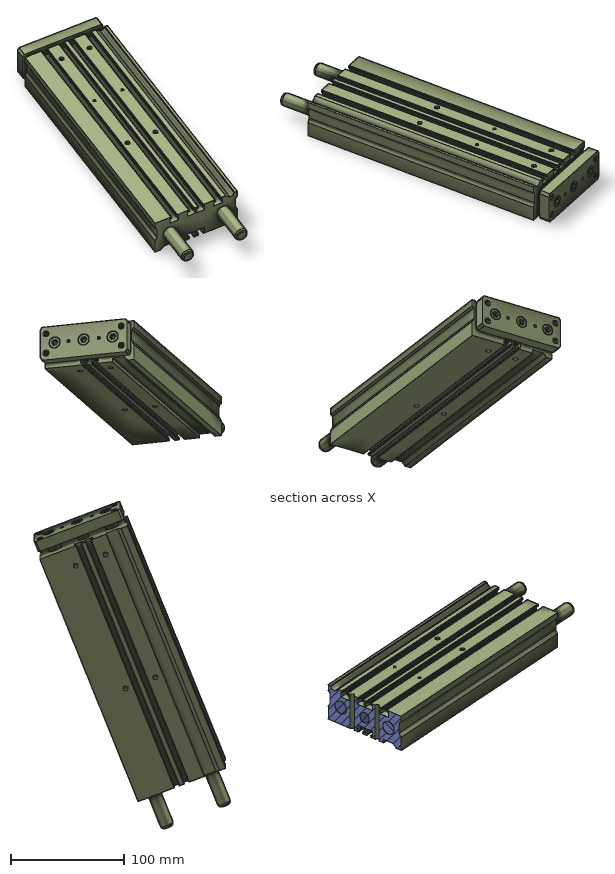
import cadquery as cq

TOTAL_LENGTH = 288.0
PLATE_THICKNESS = 9.8
HOUSING_START = 15.8
HOUSING_LENGTH = 237.0
HOUSING_END = HOUSING_START + HOUSING_LENGTH

HALF_WIDTH = 41.5
HALF_HEIGHT = 18.0

SIDE_RECESS_DEPTH = 2.0
RECESS_TOP_EDGE = 11.8
RECESS_TOP_BEND = 10.0
RECESS_TOP_FLOOR = 8.4
RECESS_LOW_FLOOR = -0.3
RECESS_LOW_BEND = -2.3
RECESS_LOW_EDGE = -4.0
RECESS_TOP_BEND_INSET = 1.7
RECESS_LOW_BEND_INSET = 1.2

LIP_THICKNESS = 2.0
SLOT_DEPTH = 7.0
MOUTH_CHAMFER = 0.5
SLOT_UNDERCUT = 1.7
CENTRE_SLOT_Y = 4.5
CENTRE_SLOT_MOUTH = 4.3
OUTER_SLOT_Y = 22.2
OUTER_SLOT_MOUTH = 5.2

TROUGH_START_Y = 39.0
TROUGH_LIP = 0.5
TROUGH_MIDDLE_Y = 37.0
TROUGH_BOTTOM_Y = 34.3
TROUGH_END_Y = 29.7
TROUGH_DEPTH = 3.7
TROUGH_MIDDLE_DEPTH = 2.5

UNDER_GROOVE_WALL_Y = -21.3
UNDER_GROOVE_FLOOR_Y = -32.3
UNDER_GROOVE_EDGE_Y = -35.7
UNDER_GROOVE_DEPTH = 3.5

VERTICAL_HOLE_Y = 14.0
MOUNT_HOLE_DIAMETER = 4.3
MOUNT_HOLE_XS = (32.8, 153.0)
TOP_PIN_HOLE_X = 92.7
PIN_HOLE_DIAMETER = 2.5
PIN_HOLE_DEPTH = 5.0

PLATE_HALF_WIDTH = 40.5
PLATE_HALF_HEIGHT = 15.3
PLATE_CHAMFER_Y = 1.7
PLATE_CHAMFER_Z = 2.5
CORNER_HOLE_Y = 35.0
CORNER_HOLE_Z = 9.0
CORNER_HOLE_DIAMETER = 3.7
CORNER_SINK_DIAMETER = 5.5
ROD_HOLE_CHAMFER = 0.3

GUIDE_ROD_Y = 27.0
GUIDE_ROD_RADIUS = 6.0
GUIDE_TAPER_LENGTH = 1.7
GUIDE_TAPER_RADIUS = 5.5
GUIDE_BEVEL_LENGTH = 1.0
GUIDE_END_RADIUS = 4.3
PISTON_ROD_RADIUS = 5.0
ROD_END_RADIUS = 5.0
REAR_WALL = 10.0
SOCKET_ACROSS_FLATS = 5.0
SOCKET_DEPTH = 4.3
HEXAGON_CORNER_RATIO = 2 / 3 ** 0.5


def cylinder_x(x_start, x_end, y, z, radius):
    """Round bar parallel to X."""
    return (cq.Workplane("YZ", origin=(x_start, y, z)).circle(radius)
            .extrude(x_end - x_start))


def cone_x(x_start, x_end, y, z, start_radius, end_radius):
    """Truncated cone with its axis parallel to X."""
    return cq.Workplane(cq.Solid.makeCone(start_radius, end_radius, x_end - x_start,
                                          cq.Vector(x_start, y, z), cq.Vector(1, 0, 0)))


def along_housing(points):
    """Closed YZ outline carried over the whole housing length."""
    return cq.Workplane("YZ", origin=(HOUSING_START, 0, 0)).polyline(points).close().extrude(HOUSING_LENGTH)


def side_recess(side):
    """Recess in the +Y side (side = 1) or the -Y side (side = -1)."""
    floor_y = HALF_WIDTH - SIDE_RECESS_DEPTH
    outline = [
        (HALF_WIDTH, RECESS_TOP_EDGE),
        (HALF_WIDTH - RECESS_TOP_BEND_INSET, RECESS_TOP_BEND),
        (floor_y, RECESS_TOP_FLOOR),
        (floor_y, RECESS_LOW_FLOOR),
        (HALF_WIDTH - RECESS_LOW_BEND_INSET, RECESS_LOW_BEND),
        (HALF_WIDTH, RECESS_LOW_EDGE),
    ]
    return along_housing([(side * y, z) for y, z in outline])


def t_slot(centre_y, mouth_width, face):
    """T-slot opening in the top (face = 1) or in the underside (face = -1)."""
    half_mouth = mouth_width / 2
    half_slot = half_mouth + SLOT_UNDERCUT
    lip_z = HALF_HEIGHT - LIP_THICKNESS
    floor_z = HALF_HEIGHT - SLOT_DEPTH
    outline = [
        (-half_mouth - MOUTH_CHAMFER, HALF_HEIGHT),
        (-half_mouth, HALF_HEIGHT - MOUTH_CHAMFER),
        (-half_mouth, lip_z),
        (-half_slot, lip_z),
        (-half_slot, floor_z),
        (half_slot, floor_z),
        (half_slot, lip_z),
        (half_mouth, lip_z),
        (half_mouth, HALF_HEIGHT - MOUTH_CHAMFER),
        (half_mouth + MOUTH_CHAMFER, HALF_HEIGHT),
    ]
    return along_housing([(centre_y + y, face * z) for y, z in outline])


def top_trough():
    """Trough with a hollow outer flank and a straight inner flank."""
    return (cq.Workplane("YZ", origin=(HOUSING_START, 0, 0))
            .moveTo(TROUGH_START_Y, HALF_HEIGHT)
            .lineTo(TROUGH_START_Y - TROUGH_LIP, HALF_HEIGHT - TROUGH_LIP)
            .threePointArc((TROUGH_MIDDLE_Y, HALF_HEIGHT - TROUGH_MIDDLE_DEPTH),
                           (TROUGH_BOTTOM_Y, HALF_HEIGHT - TROUGH_DEPTH))
            .lineTo(TROUGH_END_Y, HALF_HEIGHT)
            .close()
            .extrude(HOUSING_LENGTH))


def under_groove():
    floor_z = UNDER_GROOVE_DEPTH - HALF_HEIGHT
    return along_housing([
        (UNDER_GROOVE_WALL_Y, -HALF_HEIGHT),
        (UNDER_GROOVE_WALL_Y, floor_z),
        (UNDER_GROOVE_FLOOR_Y, floor_z),
        (UNDER_GROOVE_EDGE_Y, -HALF_HEIGHT),
    ])


def make_housing():
    housing = (cq.Workplane("XY")
               .box(HOUSING_LENGTH, 2 * HALF_WIDTH, 2 * HALF_HEIGHT)
               .translate((HOUSING_START + HOUSING_LENGTH / 2, 0, 0)))

    for side in (-1, 1):
        housing = housing.cut(side_recess(side))
        housing = housing.cut(t_slot(side * OUTER_SLOT_Y, OUTER_SLOT_MOUTH, 1))
        for face in (-1, 1):
            housing = housing.cut(t_slot(side * CENTRE_SLOT_Y, CENTRE_SLOT_MOUTH, face))
    housing = housing.cut(top_trough()).cut(under_groove())

    top = cq.Workplane("XY", origin=(0, 0, HALF_HEIGHT))
    rows = (-VERTICAL_HOLE_Y, VERTICAL_HOLE_Y)
    mount_holes = (top.pushPoints([(x, y) for x in MOUNT_HOLE_XS for y in rows])
                   .circle(MOUNT_HOLE_DIAMETER / 2).extrude(-2 * HALF_HEIGHT))
    pin_holes = (top.pushPoints([(TOP_PIN_HOLE_X, y) for y in rows])
                 .circle(PIN_HOLE_DIAMETER / 2).extrude(-PIN_HOLE_DEPTH))
    housing = housing.cut(mount_holes).cut(pin_holes)

    for y in (-GUIDE_ROD_Y, GUIDE_ROD_Y):
        housing = housing.cut(cylinder_x(HOUSING_START, HOUSING_END, y, 0, GUIDE_ROD_RADIUS))
    return housing.cut(cylinder_x(HOUSING_START, HOUSING_END - REAR_WALL, 0, 0, PISTON_ROD_RADIUS))


def make_plate():
    shoulder_y = PLATE_HALF_WIDTH - PLATE_CHAMFER_Y
    shoulder_z = PLATE_HALF_HEIGHT - PLATE_CHAMFER_Z
    plate = (cq.Workplane("YZ")
             .polyline([
                 (shoulder_y, PLATE_HALF_HEIGHT),
                 (PLATE_HALF_WIDTH, shoulder_z),
                 (PLATE_HALF_WIDTH, -shoulder_z),
                 (shoulder_y, -PLATE_HALF_HEIGHT),
                 (-shoulder_y, -PLATE_HALF_HEIGHT),
                 (-PLATE_HALF_WIDTH, -shoulder_z),
                 (-PLATE_HALF_WIDTH, shoulder_z),
                 (-shoulder_y, PLATE_HALF_HEIGHT),
             ])
             .close()
             .extrude(PLATE_THICKNESS))

    for y in (-GUIDE_ROD_Y, 0, GUIDE_ROD_Y):
        hole = cylinder_x(0, PLATE_THICKNESS, y, 0, ROD_END_RADIUS)
        edge_break = cone_x(0, ROD_HOLE_CHAMFER, y, 0, ROD_END_RADIUS + ROD_HOLE_CHAMFER, ROD_END_RADIUS)
        plate = plate.cut(hole).cut(edge_break)

    hole_radius = CORNER_HOLE_DIAMETER / 2
    sink_radius = CORNER_SINK_DIAMETER / 2
    for y in (-CORNER_HOLE_Y, CORNER_HOLE_Y):
        for z in (-CORNER_HOLE_Z, CORNER_HOLE_Z):
            plate = plate.cut(cylinder_x(0, PLATE_THICKNESS, y, z, hole_radius))
            plate = plate.cut(cone_x(0, sink_radius - hole_radius, y, z, sink_radius, hole_radius))

    for y in (-VERTICAL_HOLE_Y, VERTICAL_HOLE_Y):
        plate = plate.cut(cylinder_x(0, PIN_HOLE_DEPTH, y, 0, PIN_HOLE_DIAMETER / 2))
    return plate


def with_plate_end(rod, y):
    """Add the end that fills the plate hole, with its hexagon socket."""
    plate_end = cylinder_x(0, PLATE_THICKNESS, y, 0, ROD_END_RADIUS)
    socket = (cq.Workplane("YZ", origin=(0, y, 0))
              .polygon(6, SOCKET_ACROSS_FLATS * HEXAGON_CORNER_RATIO)
              .extrude(SOCKET_DEPTH))
    return rod.union(plate_end).cut(socket)


def make_guide_rod(y):
    bevel_start = TOTAL_LENGTH - GUIDE_BEVEL_LENGTH
    taper_start = bevel_start - GUIDE_TAPER_LENGTH
    rod = cylinder_x(PLATE_THICKNESS, taper_start, y, 0, GUIDE_ROD_RADIUS)
    taper = cone_x(taper_start, bevel_start, y, 0, GUIDE_ROD_RADIUS, GUIDE_TAPER_RADIUS)
    bevel = cone_x(bevel_start, TOTAL_LENGTH, y, 0, GUIDE_TAPER_RADIUS, GUIDE_END_RADIUS)
    return with_plate_end(rod.union(taper).union(bevel), y)


def make_piston_rod():
    rod = cylinder_x(PLATE_THICKNESS, HOUSING_END - REAR_WALL, 0, 0, PISTON_ROD_RADIUS)
    return with_plate_end(rod, 0)


housing = make_housing()
plate = make_plate()
piston_rod = make_piston_rod()
guide_rods = [make_guide_rod(y) for y in (-GUIDE_ROD_Y, GUIDE_ROD_Y)]

result = cq.Compound.makeCompound([
    housing.solids().val(),
    plate.solids().val(),
    piston_rod.solids().val(),
    *[rod.solids().val() for rod in guide_rods],
])